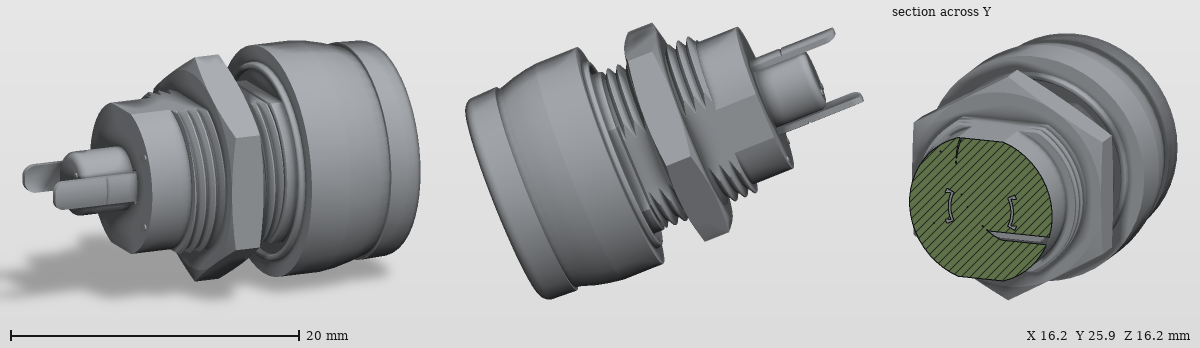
import cadquery as cq
import math


HEAD_RADIUS = 8.1
HEAD_BAND_TOP = 2.97
BULGE_TOP = 5.79
BULGE_TOP_RADIUS = 7.46
BULGE_MIDDLE_RADIUS = 7.88
CAP_BOTTOM = 6.26
NECK_RADIUS = 7.34
CAP_TOP = 8.77
CAP_RADIUS = 7.6
CAP_TOP_RADIUS = 7.5
CAP_ROUND = 0.75

LIP_OUTER_RADIUS = 6.97
LIP_INNER_RADIUS = 6.5
LIP_HEIGHT = 0.42
LIP_DRAFT = 0.1
LIP_ROUND = 0.15

FLAT_HALF_WIDTH = 5.03
THREAD_RADIUS = 5.92
THREAD_PITCH = 0.75
THREAD_DEPTH = 0.5
FLANK_SLOPE = math.tan(math.radians(30))
ROOT_RADIUS = THREAD_RADIUS - THREAD_DEPTH
ROOT_WIDTH = 0.09
GROOVE_MOUTH = ROOT_WIDTH + 2 * THREAD_DEPTH * FLANK_SLOPE
ROOT_Y_AT_PLUS_X = -1.48
COLLAR_END = -0.97
COLLAR_CHAMFER_LENGTH = 0.18
COLLAR_CHAMFER_DEPTH = 0.07
THREAD_START = -1.15
THREAD_END = -7.9
RELIEF_FLAT_HALF_WIDTH = 4.5
BODY_RADIUS = 5.3
BODY_END = -10.88

NUT_ACROSS_FLATS = 14.0
NUT_TOP = -3.18
NUT_THICKNESS = 2.4
NUT_CHAMFER_ANGLE = 15.0
HEX_HALF_ANGLE = 30.0

PIN_RADIUS = 2.24
PIN_LENGTH = 3.83
PIN_ROUND = 0.5

TERMINAL_OUTER_RADIUS = 2.8
TERMINAL_THICKNESS = 0.4
TERMINAL_INNER_RADIUS = TERMINAL_OUTER_RADIUS - TERMINAL_THICKNESS
TERMINAL_HALF_WIDTH = 0.98
TERMINAL_TIP = -17.13
TERMINAL_TIP_ROUND = 0.75
TERMINAL_ROOT_DEPTH = 0.5
NOTCH_Y = BODY_END - 2.24
NOTCH_WIDTH = 0.2
NOTCH_DEPTH = 0.1
POCKET_HALF_ANGLE = 26.7
POCKET_DEPTH = 0.3

BODY_DOT_RADIUS = 0.2
PIN_DOT_RADIUS = 0.24
DOT_HEIGHT = 0.1
BODY_DOT_X = 4.1
BODY_DOT_Z = 2.5
PIN_DOT_X = 0.97
PIN_DOT_Z = 0.82


def cylinder(radius, y_start, y_end):
    """Cylinder on the Y axis from y_start down to y_end."""
    return cq.Workplane("XZ", origin=(0, y_start, 0)).circle(radius).extrude(y_start - y_end)


def box(x_size, z_size, y_start, y_end):
    """Block centred on the Y axis from y_start down to y_end."""
    return cq.Workplane("XZ", origin=(0, y_start, 0)).rect(x_size, z_size).extrude(y_start - y_end)


def flatted(radius, half_width, y_start, y_end):
    """Round bar with two flats facing +Z and -Z."""
    flats = box(2 * radius, 2 * half_width, y_start, y_end)
    return cylinder(radius, y_start, y_end).intersect(flats)


def revolve_about_y(profile):
    return profile.close().revolve(360, (0, 0, 0), (0, 1, 0))


def make_head():
    bulge_middle = (HEAD_BAND_TOP + BULGE_TOP) / 2
    profile = (
        cq.Workplane("XY")
        .moveTo(0, 0)
        .lineTo(HEAD_RADIUS, 0)
        .lineTo(HEAD_RADIUS, HEAD_BAND_TOP)
        .threePointArc((BULGE_MIDDLE_RADIUS, bulge_middle), (BULGE_TOP_RADIUS, BULGE_TOP))
        .lineTo(NECK_RADIUS, CAP_BOTTOM)
        .lineTo(CAP_RADIUS, CAP_BOTTOM)
        .lineTo(CAP_TOP_RADIUS, CAP_TOP)
        .lineTo(0, CAP_TOP)
    )
    return revolve_about_y(profile).faces(">Y").edges().fillet(CAP_ROUND)


def make_lip():
    profile = (
        cq.Workplane("XY")
        .moveTo(LIP_INNER_RADIUS, 0)
        .lineTo(LIP_OUTER_RADIUS, 0)
        .lineTo(LIP_OUTER_RADIUS - LIP_DRAFT, -LIP_HEIGHT)
        .lineTo(LIP_INNER_RADIUS, -LIP_HEIGHT)
    )
    return revolve_about_y(profile).faces("<Y").edges().fillet(LIP_ROUND)


def make_collar():
    collar = flatted(THREAD_RADIUS, FLAT_HALF_WIDTH, 0, COLLAR_END)
    end_edges = collar.faces("<Y").edges()
    return end_edges.chamfer(COLLAR_CHAMFER_DEPTH, COLLAR_CHAMFER_LENGTH)


def make_thread_groove():
    """Right-handed helical V groove, swept long enough to run out at both ends."""
    turns_below = math.ceil((ROOT_Y_AT_PLUS_X - THREAD_END) / THREAD_PITCH) + 1
    bottom = ROOT_Y_AT_PLUS_X - turns_below * THREAD_PITCH
    length = THREAD_START - bottom + 2 * THREAD_PITCH
    overrun = 0.1
    root_half = ROOT_WIDTH / 2
    mouth_half = GROOVE_MOUTH / 2 + overrun * FLANK_SLOPE
    outer = THREAD_RADIUS + overrun
    helix = cq.Wire.makeHelix(THREAD_PITCH, length, ROOT_RADIUS)
    groove = (
        cq.Workplane("XZ")
        .moveTo(ROOT_RADIUS, -root_half)
        .lineTo(outer, -mouth_half)
        .lineTo(outer, mouth_half)
        .lineTo(ROOT_RADIUS, root_half)
        .close()
        .sweep(cq.Workplane(helix), isFrenet=True)
    )
    return groove.rotate((0, 0, 0), (1, 0, 0), -90).translate((0, bottom, 0))


def make_shank():
    relief = flatted(ROOT_RADIUS, RELIEF_FLAT_HALF_WIDTH, COLLAR_END, THREAD_START)
    flats = box(2 * THREAD_RADIUS, 2 * FLAT_HALF_WIDTH, THREAD_START, THREAD_END)
    thread = cylinder(THREAD_RADIUS, THREAD_START, THREAD_END)
    thread = thread.cut(make_thread_groove()).intersect(flats)
    body = flatted(BODY_RADIUS, FLAT_HALF_WIDTH, THREAD_END, BODY_END)
    return make_collar().union(relief).union(thread).union(body)


def make_nut():
    flat_radius = NUT_ACROSS_FLATS / 2
    corner_radius = flat_radius / math.cos(math.radians(HEX_HALF_ANGLE))
    chamfer = (corner_radius - flat_radius) * math.tan(math.radians(NUT_CHAMFER_ANGLE))
    nut_bottom = NUT_TOP - NUT_THICKNESS
    hexagon = (
        cq.Workplane("XZ", origin=(0, NUT_TOP, 0))
        .transformed(rotate=(0, 0, HEX_HALF_ANGLE))
        .polygon(6, 2 * corner_radius)
        .extrude(NUT_THICKNESS)
    )
    envelope = (
        cq.Workplane("XY")
        .moveTo(0, NUT_TOP)
        .lineTo(flat_radius, NUT_TOP)
        .lineTo(corner_radius, NUT_TOP - chamfer)
        .lineTo(corner_radius, nut_bottom + chamfer)
        .lineTo(flat_radius, nut_bottom)
        .lineTo(0, nut_bottom)
    )
    return hexagon.intersect(revolve_about_y(envelope))


def make_pin():
    pin_end = BODY_END - PIN_LENGTH
    pin = cylinder(PIN_RADIUS, BODY_END + POCKET_DEPTH, pin_end)
    return pin.faces("<Y").edges().fillet(PIN_ROUND)


def make_terminals():
    """Pair of curved strips with rounded tips and a break notch around the outside."""
    top = BODY_END + TERMINAL_ROOT_DEPTH
    tube = cylinder(TERMINAL_OUTER_RADIUS, top, TERMINAL_TIP)
    tube = tube.cut(cylinder(TERMINAL_INNER_RADIUS, top, TERMINAL_TIP))
    strip = box(2 * TERMINAL_OUTER_RADIUS, 2 * TERMINAL_HALF_WIDTH, top, TERMINAL_TIP)
    strip = strip.faces("<Y").edges("|X").fillet(TERMINAL_TIP_ROUND)
    notch = (
        cq.Workplane("XY")
        .moveTo(TERMINAL_OUTER_RADIUS, NOTCH_Y + NOTCH_WIDTH / 2)
        .lineTo(TERMINAL_OUTER_RADIUS, NOTCH_Y - NOTCH_WIDTH / 2)
        .lineTo(TERMINAL_OUTER_RADIUS - NOTCH_DEPTH, NOTCH_Y)
    )
    return tube.intersect(strip).cut(revolve_about_y(notch))


def make_pocket(side):
    """Arc-shaped recess around one terminal root; side is +1 for +X, -1 for -X."""
    angle = math.radians(POCKET_HALF_ANGLE)

    def on_arc(radius, turn):
        return (side * radius * math.cos(turn), radius * math.sin(turn))

    return (
        cq.Workplane("XZ", origin=(0, BODY_END + POCKET_DEPTH, 0))
        .moveTo(*on_arc(PIN_RADIUS, -angle))
        .lineTo(*on_arc(TERMINAL_OUTER_RADIUS, -angle))
        .threePointArc(on_arc(TERMINAL_OUTER_RADIUS, 0), on_arc(TERMINAL_OUTER_RADIUS, angle))
        .lineTo(*on_arc(PIN_RADIUS, angle))
        .threePointArc(on_arc(PIN_RADIUS, 0), on_arc(PIN_RADIUS, -angle))
        .close()
        .extrude(POCKET_DEPTH)
    )


def make_dots(radius, x, z, y):
    """Two raised dots mirrored about Z = 0 on a face at height y."""
    return (
        cq.Workplane("XZ", origin=(0, y, 0))
        .pushPoints([(x, z), (x, -z)])
        .circle(radius)
        .extrude(DOT_HEIGHT)
    )


shank = make_shank()
for pocket_side in (1, -1):
    shank = shank.cut(make_pocket(pocket_side))

result = (
    make_head()
    .union(make_lip())
    .union(shank)
    .union(make_nut())
    .union(make_pin())
    .union(make_terminals())
    .union(make_dots(BODY_DOT_RADIUS, BODY_DOT_X, BODY_DOT_Z, BODY_END))
    .union(make_dots(PIN_DOT_RADIUS, PIN_DOT_X, PIN_DOT_Z, BODY_END - PIN_LENGTH))
)